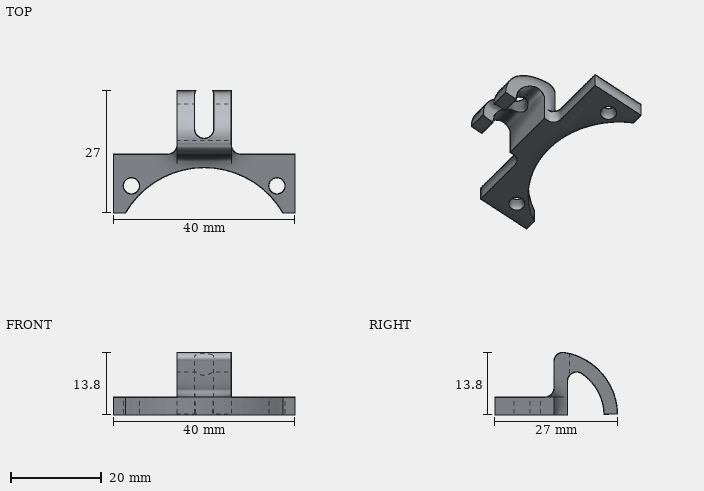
import cadquery as cq
import math

base_length = 40.0
base_depth = 13.0
base_thickness = 4.0
cutout_radius = 20.0
cutout_center_y = -10.0
hole_diameter = 3.5
hole_spacing = 32.0
hole_y = 6.0

hook_width = 12.0
hook_thickness = 3.0
hook_outer_radius = 14.0
hook_inner_radius = hook_outer_radius - hook_thickness
blend_radius = 2.0
tip_angle = math.radians(1.0)

slot_width = 4.2
slot_start_y = 18.55
slot_end_y = 26.0

post_front_y = base_depth
post_back_y = post_front_y + hook_thickness
hook_center_y = post_front_y


def hook_point(radius, angle):
    """Point (Y, Z) at an angle above horizontal on an arc of the hook."""
    return (hook_center_y + radius * math.cos(angle), radius * math.sin(angle))


def make_base():
    plate = cq.Workplane("XY").box(base_length, base_depth, base_thickness, centered=(True, False, False))
    cutout = cq.Workplane("XY").center(0, cutout_center_y).circle(cutout_radius).extrude(base_thickness)
    holes = (
        cq.Workplane("XY")
        .pushPoints([(-hole_spacing / 2, hole_y), (hole_spacing / 2, hole_y)])
        .circle(hole_diameter / 2)
        .extrude(base_thickness)
    )
    return plate.cut(cutout).cut(holes)


def make_hook():
    crest_y = post_front_y + blend_radius
    crest_reach = hook_outer_radius - blend_radius
    crest_angle = math.acos((crest_y - hook_center_y) / crest_reach)
    crest_z = crest_reach * math.sin(crest_angle)

    throat_y = post_back_y + blend_radius
    throat_reach = hook_inner_radius - blend_radius
    throat_angle = math.acos((throat_y - hook_center_y) / throat_reach)
    throat_z = throat_reach * math.sin(throat_angle)
    throat_mid_angle = (throat_angle + math.pi) / 2
    throat_mid = (
        throat_y + blend_radius * math.cos(throat_mid_angle),
        throat_z + blend_radius * math.sin(throat_mid_angle),
    )

    profile = (
        cq.Workplane("YZ")
        .moveTo(post_back_y, 0)
        .lineTo(post_front_y, 0)
        .lineTo(post_front_y, crest_z)
        .threePointArc((crest_y, crest_z + blend_radius), hook_point(hook_outer_radius, crest_angle))
        .threePointArc(
            hook_point(hook_outer_radius, (crest_angle + tip_angle) / 2),
            hook_point(hook_outer_radius, tip_angle),
        )
        .lineTo(*hook_point(hook_inner_radius, tip_angle))
        .threePointArc(
            hook_point(hook_inner_radius, (throat_angle + tip_angle) / 2),
            hook_point(hook_inner_radius, throat_angle),
        )
        .threePointArc(throat_mid, (post_back_y, throat_z))
        .close()
    )
    hook = profile.extrude(hook_width / 2, both=True)
    slot = (
        cq.Workplane("XY")
        .center(0, (slot_start_y + slot_end_y) / 2)
        .slot2D(slot_end_y - slot_start_y + slot_width, slot_width, 90)
        .extrude(hook_outer_radius)
    )
    return hook.cut(slot)


def corner_blend(plane, corner, side_u, side_v):
    """Sketch a concave fillet in a corner, reaching along the two given directions."""
    u, v = corner
    end_u = u + side_u * blend_radius
    end_v = v + side_v * blend_radius
    inset = blend_radius * (1 - math.sqrt(0.5))
    return (
        cq.Workplane(plane)
        .moveTo(u, v)
        .lineTo(end_u, v)
        .threePointArc((u + side_u * inset, v + side_v * inset), (u, end_v))
        .close()
    )


result = make_base().union(make_hook())

front_blend = corner_blend("YZ", (post_front_y, base_thickness), -1, 1)
result = result.union(front_blend.extrude(hook_width / 2, both=True))

for side in (-1, 1):
    side_blend = corner_blend("XY", (side * hook_width / 2, base_depth), side, 1)
    result = result.union(side_blend.extrude(base_thickness))